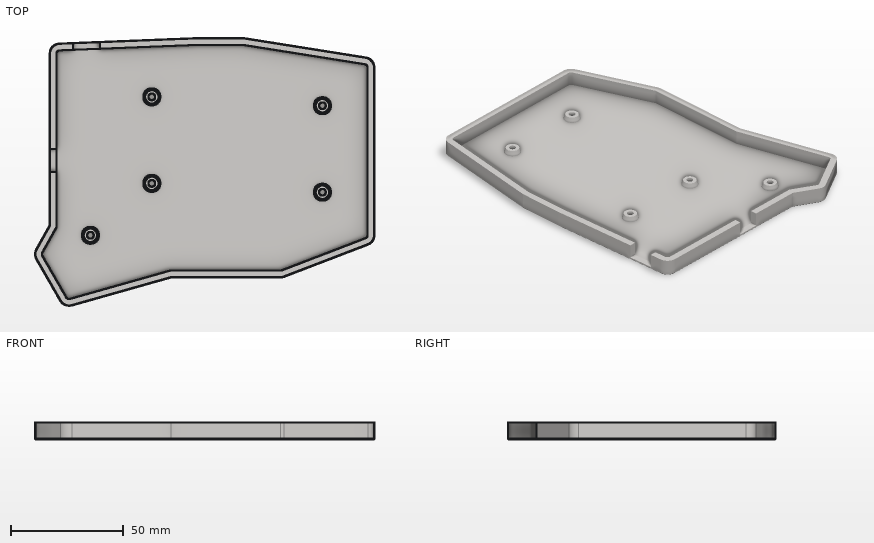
import cadquery as cq

height = 7.5
floor_thickness = 1.0
wall = 3.0
corner_radius = 4.5
bottom_chamfer = 0.5

corner_reach = 2.0
point_tolerance = 0.8

left_x = 6.5
right_x = 150.6
top_y = 118.8
front_y = 12.7

ROUNDED = True
SHARP = False
outline = [
    ((left_x, 116.3), ROUNDED),
    ((71.0, top_y), SHARP),
    ((92.8, top_y), SHARP),
    ((right_x, 109.7), ROUNDED),
    ((right_x, 28.3), ROUNDED),
    ((109.8, front_y), ROUNDED),
    ((60.4, front_y), SHARP),
    ((13.0, -0.8), ROUNDED),
    ((-0.68, 22.9), ROUNDED),
    ((left_x, 35.7), SHARP),
]

opening_floor = 1.2
left_opening_y = 59.5
left_opening_width = 10.2
top_opening_x = 16.7
top_opening_width = 12.0
cut_reach = 6.0

post_diameter = 6.0
post_base_diameter = 7.5
post_hole_diameter = 3.0
post_height = 2.3
post_pitch = 38.4
left_post_x = 51.8
left_post_y = 54.4
right_post_x = 127.6
right_post_y = 50.5
post_centers = [
    (left_post_x, left_post_y),
    (left_post_x, left_post_y + post_pitch),
    (right_post_x, right_post_y),
    (right_post_x, right_post_y + post_pitch),
    (24.5, 31.3),
]


def round_corners(solid, inset):
    """Round the vertical edges at the rounded corners, concentric with the outer wall."""
    rounded_points = [point for point, rounded in outline if rounded]
    search_radius = inset * corner_reach + point_tolerance
    edges = []
    for edge in solid.edges("|Z").vals():
        center = edge.Center()
        for x, y in rounded_points:
            if (center.x - x) ** 2 + (center.y - y) ** 2 < search_radius**2:
                edges.append(edge)
                break
    return solid.newObject(edges).fillet(corner_radius - inset)


def sharp_outline(bottom):
    points = [point for point, _ in outline]
    return cq.Workplane("XY", origin=(0, 0, bottom)).polyline(points).close()


def tray():
    body = round_corners(sharp_outline(0).extrude(height), 0)
    body = body.faces("<Z").chamfer(bottom_chamfer)
    cavity = sharp_outline(floor_thickness).offset2D(-wall, "intersection").extrude(height)
    return body.cut(round_corners(cavity, wall))


def wall_opening(x, y, length, width):
    """Block that clears the wall above the opening floor."""
    block = cq.Workplane("XY").box(length, width, height, centered=False)
    return block.translate((x, y, opening_floor))


def post(x, y):
    """Hollow conical post standing on the floor."""
    profile = [
        (post_hole_diameter / 2, 0),
        (post_base_diameter / 2, 0),
        (post_diameter / 2, post_height),
        (post_hole_diameter / 2, post_height),
    ]
    solid = cq.Workplane("XZ").polyline(profile).close().revolve(360, (0, 0), (0, 1))
    return solid.translate((x, y, floor_thickness))


result = tray()
result = result.cut(wall_opening(left_x - wall / 2, left_opening_y, cut_reach, left_opening_width))
result = result.cut(wall_opening(top_opening_x, top_y - cut_reach, top_opening_width, cut_reach))
for center_x, center_y in post_centers:
    result = result.union(post(center_x, center_y))